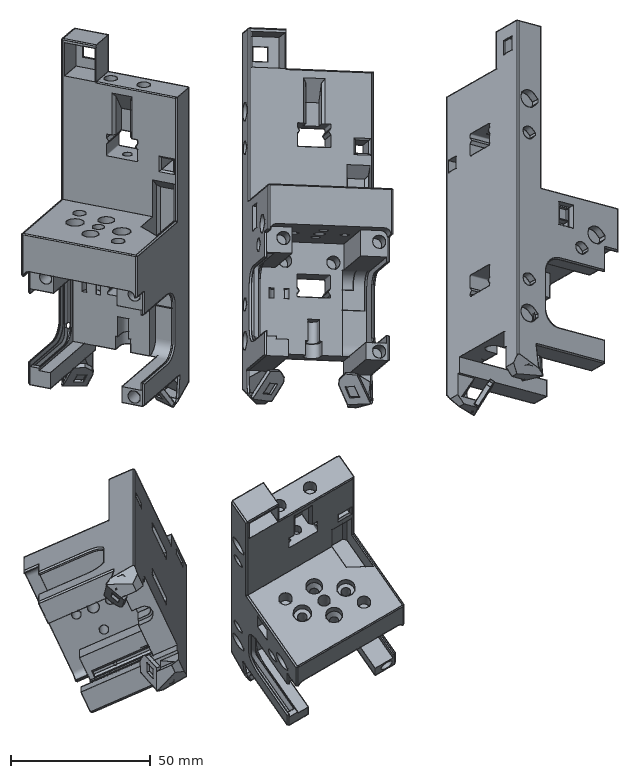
import cadquery as cq
import math

width = 46.0
depth = 43.8
height = 136
foot_bottom = 0.4
half = width / 2
edge_break = 0.4
side_break = 0.7
FAR = 2 * height

wall_front = -10.3
step_top = 121.5
shelf_top = 73.0
shelf_front = -depth
lip_bottom = 56.3
frame_front = -38.0
arm_bottom = 11.4

throat_y = -12.4
throat_bottom = 20.5
throat_top = 47.2
throat_radius = 6.0

cavity_left = -18.6
cavity_right = 11.7
cavity_y = -9.5
cavity_bottom = 17.7
cavity_top = 49.1
shelf_underside = 58.6
cavity_radius = 4.9
center_x = 1.2


def box(x0, x1, y0, y1, z0, z1):
    """Axis-aligned block between two opposite corners."""
    return cq.Workplane("XY").box(x1 - x0, y1 - y0, z1 - z0, centered=False).translate((x0, y0, z0))


def side_prism(points, x0, x1, taper=0):
    """Closed (y, z) outline extruded from x0 to x1, shrinking by the taper angle."""
    return cq.Workplane("YZ").workplane(offset=x0).polyline(points).close().extrude(x1 - x0, taper=taper)


def opening(y_back, z0, z1, x0, x1, radius, taper=0):
    """Cutter open to the front, with two rounded inner corners; the taper narrows it from x0 to x1."""
    outline = (
        cq.Workplane("YZ").workplane(offset=x0)
        .moveTo(-FAR, z0)
        .lineTo(y_back - radius, z0)
        .radiusArc((y_back, z0 + radius), -radius)
        .lineTo(y_back, z1 - radius)
        .radiusArc((y_back - radius, z1), -radius)
        .lineTo(-FAR, z1)
        .close()
    )
    return outline.extrude(x1 - x0, taper=taper)


def drill(direction, origin, diameter, length):
    """Round cutter from the origin along the direction."""
    plane = cq.Plane(origin=origin, xDir=(1, 0, 0), normal=direction)
    return cq.Workplane(plane).circle(diameter / 2).extrude(length)


DOWN = (0, 0, -1)
INTO_FRONT = (0, 1, 0)


foot_front = -8.3
toe_y = -11.5
outline = [
    (0, height),
    (wall_front, height),
    (wall_front, shelf_top),
    (shelf_front, shelf_top),
    (shelf_front, lip_bottom),
    (frame_front, lip_bottom),
    (frame_front, arm_bottom),
    (foot_front, arm_bottom),
    (-9.4, 3.0),
    (toe_y, foot_bottom),
    (-2.7, foot_bottom),
    (0, 3.4),
]
flank = half - side_break
side_taper = math.degrees(math.atan2(edge_break, side_break))
body = side_prism(outline, -flank, flank)
for side in (-1, 1):
    body = body.union(side_prism(outline, side * flank, side * half, side_taper))

post_right = -9.1
body = body.cut(box(post_right, FAR, -FAR, FAR, step_top, FAR))


def break_front_edge(solid, y, z):
    """Chamfer the edges that run along X through the given y and z."""
    reach = 0.1
    corner = cq.selectors.BoxSelector((-half, y - reach, z - reach), (half, y + reach, z + reach))
    return solid.edges("|X").edges(corner).chamfer(edge_break)


for top_edge in ((wall_front, height), (wall_front, step_top), (shelf_front, shelf_top)):
    body = break_front_edge(body, *top_edge)

arm_inner = 14.1
block_left = -12.9
block_right = 12.2
throat = (throat_y, throat_bottom, throat_top)
body = body.cut(opening(*throat, -half, half, throat_radius))
for side in (-1, 1):
    body = body.cut(opening(*throat, side * flank, side * half, throat_radius, -side_taper))
body = body.cut(box(block_left, block_right, -FAR, cavity_y, cavity_bottom, shelf_underside))
body = body.cut(box(cavity_left, cavity_right, -FAR, cavity_y, cavity_bottom, cavity_top))
body = body.cut(box(-arm_inner, arm_inner, -FAR, FAR, -FAR, cavity_bottom))

lip_half = 22.0
lip_radius = 2.5
lip = box(-lip_half, lip_half, -FAR, frame_front, -FAR, shelf_underside)
body = body.cut(lip.faces(">Z").edges("|Y").fillet(lip_radius))

recess_right = 21.8
recess_y = -4.5
recess = opening(recess_y, cavity_bottom, cavity_top, cavity_right, recess_right, cavity_radius)
for step_right, step_depth, step_bottom in ((21.1, 0.7, 35.5), (17.0, 1.4, 43.0)):
    pocket = box(cavity_right, step_right, -FAR, recess_y + step_depth, step_bottom, cavity_top)
    pocket = pocket.faces(">Y").edges(">Z").fillet(cavity_radius)
    recess = recess.union(pocket)
body = body.cut(recess)

rim_x = -22.2
groove_step = 1.9
ledge_y = throat_y + groove_step
ledge_bottom = throat_bottom - groove_step
ledge_top = throat_top + groove_step
body = body.cut(opening(ledge_y, ledge_bottom, ledge_top, rim_x, cavity_left, throat_radius))

groove_left = -21.3
groove_right = -20.4
groove_mouth_left = -22.0
groove_mouth_right = -19.2
groove_depth = 2.3
groove_radius = 4.1
groove_front = -36.0
flank_slope = math.degrees(math.atan2(groove_depth, groove_mouth_right - groove_right))
groove_path = (ledge_y + groove_depth, ledge_bottom - groove_depth, ledge_top + groove_depth)
groove = opening(*groove_path, groove_left, groove_right, groove_radius)
groove = groove.union(opening(*groove_path, groove_left, groove_mouth_left, groove_radius, flank_slope))
groove = groove.union(opening(*groove_path, groove_right, groove_mouth_right, groove_radius, flank_slope))
body = body.cut(groove.intersect(box(-half, half, groove_front, 0, 0, height)))

pocket_left = -21.6
pocket_right = -9.5
pocket_top = 134.6
pocket_back = -0.7
post_window_x = -16.3
post_window_z = 128.2
post_window_half = 2.7
body = body.cut(box(pocket_left, pocket_right, -FAR, pocket_back, step_top, pocket_top))
body = body.cut(
    box(
        post_window_x - post_window_half, post_window_x + post_window_half, -FAR, FAR,
        post_window_z - post_window_half, post_window_z + post_window_half,
    )
)

window_half = 6.1
pip_depth = 0.8
window_corner = 0.4
pip_half = 1.2


def window(z0, z1, pip_z):
    """Through window with a pointed pip on each side."""
    cutter = box(center_x - window_half, center_x + window_half, -FAR, FAR, z0, z1)
    cutter = cutter.edges("|Y").fillet(window_corner)
    for side in (-1, 1):
        x_wall = center_x + side * window_half
        pip = [(x_wall, pip_z - pip_half), (x_wall - side * pip_depth, pip_z), (x_wall, pip_z + pip_half)]
        cutter = cutter.cut(cq.Workplane("XZ").polyline(pip).close().extrude(FAR, both=True))
    return cutter


upper_sill = 93.4
upper_head = 102.0
body = body.cut(window(upper_sill, upper_head, 99.3))
body = body.cut(window(38.8, 47.0, 40.9))

screw_y = -5.8
screw_d = 3.4
sill_hole_depth = 5.5
body = body.cut(drill(DOWN, (center_x, screw_y, upper_sill), screw_d, sill_hole_depth))

slot_half = 4.0
slot_floor_half = 2.9
slot_floor_y = -4.9
slot_top = 118.5
slot_bottom = upper_head - window_corner
ramp_bottom = 110.5
slot_sides = [
    (center_x - slot_half, wall_front),
    (center_x + slot_half, wall_front),
    (center_x + slot_floor_half, wall_front + slot_half - slot_floor_half),
    (center_x + slot_floor_half, slot_floor_y),
    (center_x - slot_floor_half, slot_floor_y),
    (center_x - slot_floor_half, wall_front + slot_half - slot_floor_half),
]
slot = cq.Workplane("XY").workplane(offset=slot_bottom).polyline(slot_sides).close()
slot = slot.extrude(slot_top - slot_bottom)
slot_roof = [
    (wall_front, slot_top),
    (slot_floor_y, ramp_bottom),
    (FAR, ramp_bottom),
    (FAR, FAR),
    (wall_front, FAR),
]
body = body.cut(slot.cut(side_prism(slot_roof, -half, half)))

for groove_d, z_top in ((4.4, 30.7), (6.0, 22.8)):
    body = body.cut(drill(DOWN, (center_x, screw_y, z_top), groove_d, z_top))
    body = body.cut(box(center_x - groove_d / 2, center_x + groove_d / 2, -FAR, screw_y, 0, z_top))

square_x = 18.9
square_z = 94.2
square_side = 4.8
square_chamfer = 0.7
square = cq.Workplane("XZ").center(square_x, square_z)
body = body.cut(square.rect(square_side, square_side).extrude(FAR, both=True))
mouth_side = square_side + 2 * square_chamfer
mouth = square.workplane(offset=-wall_front).rect(mouth_side, mouth_side)
body = body.cut(mouth.extrude(-square_chamfer, taper=45))

channel_left = 13.3
channel_right = 21.8
channel_floor_y = -6.0
channel_top = 87.5
channel_ramp = 83.2
channel_bottom = 62.5
channel_bevel = 1.1
channel_section = [
    (channel_left, -20.0),
    (channel_right, -24.9),
    (channel_right, channel_floor_y - channel_bevel),
    (channel_right - channel_bevel, channel_floor_y),
    (channel_left + channel_bevel, channel_floor_y),
    (channel_left, channel_floor_y - channel_bevel),
]
channel = cq.Workplane("XY").workplane(offset=channel_bottom).polyline(channel_section).close()
channel = channel.extrude(channel_top - channel_bottom)
channel_roof = [
    (wall_front, channel_top),
    (channel_floor_y, channel_ramp),
    (FAR, channel_ramp),
    (FAR, FAR),
    (wall_front, FAR),
]
body = body.cut(channel.cut(side_prism(channel_roof, -half, half)))

pattern_x = -0.4
pattern_y = -26.8
cross_x = 9.2
cross_y = 6.7
center_hole_d = 4.4
counterbore_d = 6.5
head_depth = 3.4
countersink_d = 6.0
cone_height = 2.0
body = body.cut(drill(DOWN, (pattern_x, pattern_y, shelf_top), center_hole_d, shelf_top))
for side in (-1, 1):
    x_hole = pattern_x + side * cross_x
    y_hole = pattern_y + side * cross_y
    body = body.cut(drill(DOWN, (x_hole, pattern_y, shelf_top), screw_d, shelf_top))
    body = body.cut(drill(DOWN, (x_hole, pattern_y, shelf_top), counterbore_d, head_depth))
    body = body.cut(drill(DOWN, (pattern_x, y_hole, shelf_top), screw_d, shelf_top))
    body = body.cut(drill(DOWN, (pattern_x, y_hole, shelf_top), countersink_d, head_depth))
    cone_base = (pattern_x, y_hole, shelf_top - head_depth)
    cone = cq.Solid.makeCone(countersink_d / 2, screw_d / 2, cone_height, cone_base, (0, 0, -1))
    body = body.cut(cq.Workplane(cone))

socket_d = 4.8
socket_depth = 6.8
side_socket_depth = 3.4
side_socket_d = 6.7
side_pin_d = socket_d
spine_y = -4.6
step_sockets = [(-5.7, -5.2, step_top), (7.3, -5.2, step_top)]
shelf_sockets = [(-11.7, -18.8, shelf_top), (11.3, -35.0, shelf_top)]
block_sockets = [(-16.0, frame_front, 54.5), (19.0, frame_front, 54.5)]
wall_sockets = [(-9.2, cavity_y, 51.7), (8.4, cavity_y, 51.7)]
arm_sockets = [(19.0, frame_front, 14.5)]
for origin in step_sockets + shelf_sockets:
    body = body.cut(drill(DOWN, origin, socket_d, socket_depth))
for origin in block_sockets + wall_sockets + arm_sockets:
    body = body.cut(drill(INTO_FRONT, origin, socket_d, socket_depth))


def teardrop(y, z, diameter):
    """Side socket: a circle with a blunt point toward the front."""
    radius = diameter / 2
    tangent = radius * math.cos(math.pi / 4)
    tip = 1.2 * radius
    blunt = 2 * tangent - tip
    profile = (
        cq.Workplane("YZ").workplane(offset=-half).center(y, z)
        .moveTo(-tangent, tangent)
        .threePointArc((radius, 0), (-tangent, -tangent))
        .lineTo(-tip, -blunt)
        .lineTo(-tip, blunt)
        .close()
    )
    return profile.extrude(side_socket_depth)


side_sockets = [
    (spine_y, 106.3, side_socket_d),
    (spine_y, 93.1, side_pin_d),
    (spine_y, 36.0, side_pin_d),
    (spine_y, 22.8, side_socket_d),
    (-33.7, 60.2, side_socket_d),
    (-27.5, 53.7, side_pin_d),
]
for side_socket in side_sockets:
    body = body.cut(teardrop(*side_socket))

inner_front = -23.5
inner_back = -18.9
pocket_steps = [
    (2.7, -24.1, -17.8, 60.5, 69.5),
    (3.4, inner_front, inner_back, 64.3, 69.0),
    (4.1, inner_front, -20.4, 64.3, 69.0),
    (5.5, inner_front, inner_back, 61.3, 63.9),
]
for pocket_depth, *ranges in pocket_steps:
    body = body.cut(box(-half, -half + pocket_depth, *ranges))

tie_x = -11.4
tie_z = 38.0
tie_height = 3.7
tie_outer = 3.7
tie_inner = 1.9
tunnel = cq.Workplane("XY").workplane(offset=tie_z).center(tie_x, cavity_y)
body = body.cut(tunnel.circle(tie_outer).circle(tie_inner).extrude(tie_height))

corner_start = 6.3
corner_end = 1.4
corner_reach = 54.4
corner_slope = (corner_end - corner_start) / toe_y
corner_plane = cq.Plane(
    origin=(-half, 0, corner_start),
    xDir=(0, toe_y, corner_end - corner_start),
    normal=(-1, corner_slope, -1),
)
corner = cq.Workplane(corner_plane).rect(corner_reach, corner_reach).extrude(corner_reach / 4)

clip_left = -21.6
clip_yaw = 0.45
clip_lean = 0.65
clip_thickness = 1.8
clip_pocket_depth = 1.2
gap_bottom = 3.1
gap_depth = 6.8
foot_inner = 15.2


def clip_prism(points, thickness):
    """(x, z) outline on the leaning clip face, extruded backward into the part."""
    corners = []
    for x, z in points:
        y = toe_y + clip_yaw * (x - clip_left) - clip_lean * (z - foot_bottom)
        corners.append(cq.Vector(x, y, z))
    face = cq.Face.makeFromWires(cq.Wire.makePolygon(corners, close=True))
    normal = cq.Vector(-clip_yaw, 1, clip_lean).normalized()
    return cq.Workplane(cq.Solid.extrudeLinear(face, normal * thickness))


def foot_slab(x_left, z_bottom, depth_behind_clip):
    """Slab parallel to the clip face, kept below the arms and left of the middle."""
    margin = height / 10
    low = z_bottom - margin
    high = arm_bottom + margin
    left = x_left - margin
    slab = clip_prism([(left, low), (0, low), (0, high), (left, high)], depth_behind_clip)
    return slab.intersect(box(x_left, 0, -FAR, FAR, z_bottom, arm_bottom))


gap = foot_slab(rim_x, gap_bottom, gap_depth)
front_trim = foot_slab(-half, 0, -gap_depth)
inner_trim = box(-foot_inner, 0, -FAR, FAR, -FAR, arm_bottom)
for cutter in (corner, gap, front_trim, inner_trim):
    body = body.cut(cutter).cut(cutter.mirror("YZ"))

clip_outline = [
    (clip_left, foot_bottom),
    (-13.9, foot_bottom),
    (-10.0, 7.1),
    (-10.0, 8.7),
    (-11.8, 10.5),
    (-15.9, 9.9),
]
clip_pocket = [(-17.7, 2.6), (-14.4, 2.6), (-12.4, 6.3), (-15.5, 6.3)]
clip = clip_prism(clip_outline, clip_thickness).cut(clip_prism(clip_pocket, clip_pocket_depth))
body = body.union(clip).union(clip.mirror("YZ"))

foot_pip_size = 0.4
foot_pip_x = 19.0
foot_pip_y = -9.0
foot_pip = cq.Workplane("XY").center(foot_pip_x, foot_pip_y).rect(foot_pip_size, foot_pip_size)
body = body.union(foot_pip.extrude(2 * foot_bottom))

result = body